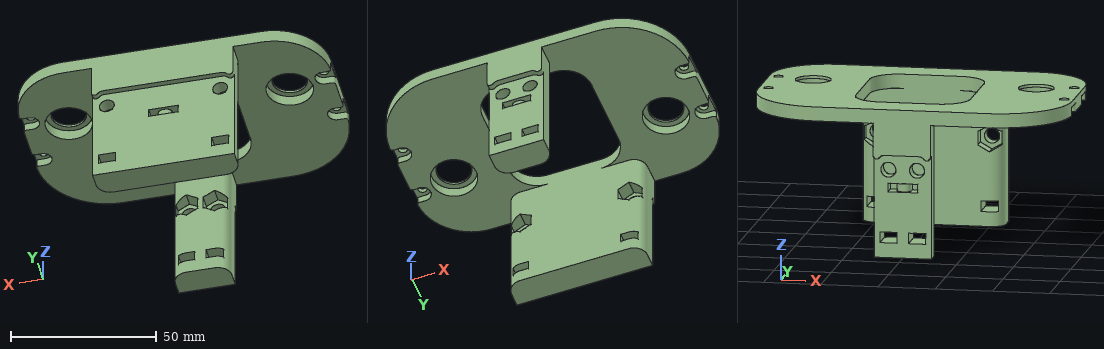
import cadquery as cq
import math

plate_length = 110.0
plate_width = 70.0
plate_thickness = 5.0
back_corner_radius = 20.0
front_corner_radius = 25.0
plate_half_length = plate_length / 2
plate_half_width = plate_width / 2

window_length = 40.0
window_width = 46.0
window_corner_radius = 10.0

port_diameter = 12.3
port_recess_diameter = 16.3
port_lip_thickness = 1.0
port_x = 39.0
port_y = 9.0

screw_diameter = 3.2
screw_x = 51.7
screw_y_positions = (12.0, -7.0)
head_slot_width = 6.0
head_slot_height = 3.0
head_slot_mouth_radius = 1.0

overall_height = 52.5
leg_thickness = 10.0
leg_corner_radius = 5.0
front_leg_width = 20.0
back_leg_width = 50.0
leg_inner_y = window_width / 2
leg_outer_y = leg_inner_y + leg_thickness

pad_bottom_z = -16.1
pad_lug_drop = 1.4
pad_lug_radius = 1.25
pad_blend_radius = 2.35

fastener_inset = 5.0
bolt_z = -21.5
bolt_diameter = 5.2
nut_width_across_flats = 8.1
nut_diameter_across_corners = nut_width_across_flats / math.cos(math.radians(30))
nut_depth = 5.0
strap_hole_width = 6.0
strap_hole_height = 3.7
strap_hole_z = -45.4

tie_pocket_width = 10.4
tie_pocket_height = 3.0
tie_pocket_depth = 5.0
tie_pocket_z = -27.8
tie_post_width = 5.0
tie_post_recess = 1.0
tie_post_radius = 2.0


def box_between(x_range, y_range, z_range):
    """Box that spans the given (low, high) ranges."""
    lows, highs = zip(x_range, y_range, z_range)
    sizes = [high - low for low, high in zip(lows, highs)]
    return cq.Workplane("XY").box(*sizes, centered=False).translate(lows)


def plate_blank():
    """Plate outline, with larger corners at the front than at the back."""
    blank = cq.Workplane("XY").box(plate_length, plate_width, plate_thickness, centered=(True, True, False))
    blank = blank.edges("|Z and >Y").fillet(back_corner_radius)
    blank = blank.edges("|Z and <Y").fillet(front_corner_radius)
    return blank.translate((0, 0, -plate_thickness))


def window_cutter():
    """Rounded rectangular opening, taller than the plate so that it cuts right through."""
    window = cq.Workplane("XY").box(window_length, window_width, 2 * plate_thickness)
    return window.edges("|Z").fillet(window_corner_radius)


def port_cutter(x):
    """Through hole with a wider recess that leaves a thin lip at the top."""
    hole = cq.Workplane("XY").center(x, port_y).circle(port_diameter / 2).extrude(-plate_thickness)
    recess = (
        cq.Workplane("XY", origin=(x, port_y, -port_lip_thickness))
        .circle(port_recess_diameter / 2)
        .extrude(port_lip_thickness - plate_thickness)
    )
    return hole.union(recess)


def screw_cutter(side, y):
    """Screw hole and head slot; side is -1 or 1 for the short edge it opens at."""
    edge_x = side * plate_half_length
    hole_x = side * screw_x
    mouth_x = edge_x - side * head_slot_mouth_radius
    half_width = head_slot_width / 2
    half_mouth = half_width + head_slot_mouth_radius
    arc_offset = head_slot_mouth_radius * math.sin(math.radians(45))
    arc_x = mouth_x + side * arc_offset
    arc_y = half_mouth - arc_offset
    slot = (
        cq.Workplane("XY", origin=(0, y, -plate_thickness))
        .moveTo(edge_x, half_mouth)
        .threePointArc((arc_x, arc_y), (mouth_x, half_width))
        .lineTo(hole_x, half_width)
        .threePointArc((hole_x - side * half_width, 0), (hole_x, -half_width))
        .lineTo(mouth_x, -half_width)
        .threePointArc((arc_x, -arc_y), (edge_x, -half_mouth))
        .close()
        .extrude(head_slot_height)
    )
    hole = cq.Workplane("XY").center(hole_x, y).circle(screw_diameter / 2).extrude(-plate_thickness)
    return slot.union(hole)


def make_plate():
    """Plate with its window, large holes and screw holes."""
    plate = plate_blank().cut(window_cutter())
    for side in (-1, 1):
        plate = plate.cut(port_cutter(side * port_x))
        for y in screw_y_positions:
            plate = plate.cut(screw_cutter(side, y))
    return plate


def pad(width):
    """Pad with a small round-cornered lug hanging at each end of its lower edge."""
    half_width = width / 2
    lug_tip_x = half_width - pad_lug_radius
    lug_bottom_z = pad_bottom_z - pad_lug_drop
    side_end_z = lug_bottom_z + pad_lug_radius
    outer_arc_offset = pad_lug_radius * math.sin(math.radians(45))
    outer_arc_x = lug_tip_x + outer_arc_offset
    outer_arc_z = side_end_z - outer_arc_offset
    blend_angle = math.acos(1 - pad_lug_drop / (pad_lug_radius + pad_blend_radius))
    bend_x = lug_tip_x - pad_lug_radius * math.sin(blend_angle)
    bend_z = side_end_z - pad_lug_radius * math.cos(blend_angle)
    root_x = bend_x - pad_blend_radius * math.sin(blend_angle)
    return (
        cq.Workplane("XZ", origin=(0, -leg_outer_y, 0))
        .moveTo(-half_width, -plate_thickness)
        .lineTo(-half_width, side_end_z)
        .threePointArc((-outer_arc_x, outer_arc_z), (-lug_tip_x, lug_bottom_z))
        .tangentArcPoint((-bend_x, bend_z), relative=False)
        .tangentArcPoint((-root_x, pad_bottom_z), relative=False)
        .lineTo(root_x, pad_bottom_z)
        .tangentArcPoint((bend_x, bend_z), relative=False)
        .tangentArcPoint((lug_tip_x, lug_bottom_z), relative=False)
        .threePointArc((outer_arc_x, outer_arc_z), (half_width, side_end_z))
        .lineTo(half_width, -plate_thickness)
        .close()
        .extrude(plate_half_width - leg_outer_y)
    )


def fastener_cutter(x):
    """Bolt hole with a nut pocket in the inner face, and a strap hole below it."""
    bolt = (
        cq.Workplane("XZ", origin=(x, -leg_inner_y, bolt_z))
        .circle(bolt_diameter / 2)
        .extrude(leg_thickness)
    )
    nut = (
        cq.Workplane("XZ", origin=(x, -leg_inner_y, bolt_z))
        .transformed(rotate=(0, 0, 90))
        .polygon(6, nut_diameter_across_corners)
        .extrude(nut_depth)
    )
    strap_hole = (
        cq.Workplane("XZ", origin=(x, -leg_inner_y, strap_hole_z))
        .rect(strap_hole_width, strap_hole_height)
        .extrude(leg_thickness)
    )
    return bolt.union(nut).union(strap_hole)


def tie_pocket_cutter():
    """Pocket for a cable tie, passing both sides of a post set back from the face."""
    pocket_y = (-leg_outer_y, -leg_outer_y + tie_pocket_depth)
    z_range = (tie_pocket_z - tie_pocket_height / 2, tie_pocket_z + tie_pocket_height / 2)
    pocket = box_between((-tie_pocket_width / 2, tie_pocket_width / 2), pocket_y, z_range)
    post_y = (pocket_y[0] + tie_post_recess, -leg_inner_y)
    post = box_between((-tie_post_width / 2, tie_post_width / 2), post_y, z_range)
    post = post.edges("|Z and <Y").fillet(tie_post_radius)
    return pocket.cut(post)


def make_leg(width):
    """Leg at the front side of the plate, with its pad, holes and pockets."""
    half_width = width / 2
    leg = box_between(
        (-half_width, half_width), (-leg_outer_y, -leg_inner_y), (-overall_height, -plate_thickness)
    )
    leg = leg.edges("|Z and >Y").fillet(leg_corner_radius)
    leg = leg.union(pad(width))
    for side in (-1, 1):
        leg = leg.cut(fastener_cutter(side * (half_width - fastener_inset)))
    return leg.cut(tie_pocket_cutter())


front_leg = make_leg(front_leg_width)
back_leg = make_leg(back_leg_width).mirror("XZ")
result = make_plate().union(front_leg).union(back_leg)